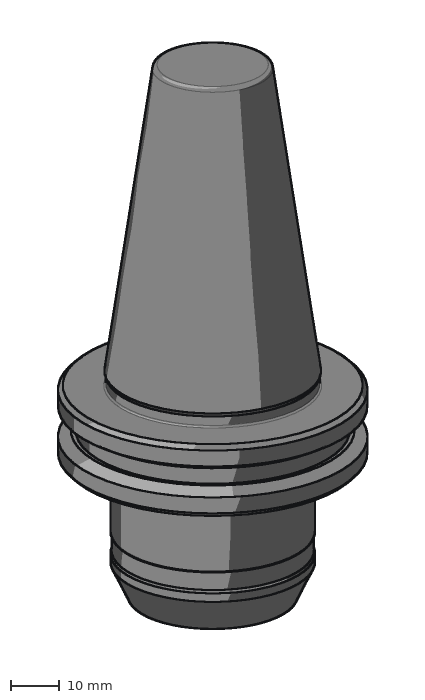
import cadquery as cq
import math


gauge_radius = 44.45 / 2
shank_length = 68.25
taper_radius_per_length = 7 / 48
taper_half_angle = math.atan(taper_radius_per_length)
shank_tip_radius = gauge_radius - shank_length * taper_radius_per_length
tip_fillet = 1.0

relief_radius = 21.95
relief_start_z = -0.8
relief_fillet = 0.4

flange_radius = 63.5 / 2
flange_top_z = -3.2
flange_thickness = 16.0
flange_bottom_z = flange_top_z - flange_thickness
flange_chamfer = 1.0
groove_centre_z = flange_top_z - flange_thickness / 2
groove_floor_radius = 28.15
groove_floor_width = 3.85
groove_mouth_width = 6.9
groove_flank_angle = 60
groove_flank_depth = (groove_mouth_width - groove_floor_width) / 2 * math.tan(math.radians(groove_flank_angle))

overall_length = 118.4
nose_end_z = shank_length - overall_length
nose_radius = 21.0
nose_root_fillet = 1.0
nose_end_radius = 17.4
nose_taper_length = 7.6

band_depth = 0.25
band_radius = nose_radius - band_depth
band_top_z = -35.8
band_bottom_z = -40.0
band_upper_slope_length = 0.3
band_lower_slope_length = 0.65


def add_tip(profile):
    """Draw the flat shank tip and round it into the taper."""
    centre_z = shank_length - tip_fillet
    taper_radius_at_centre = shank_tip_radius + tip_fillet * taper_radius_per_length
    centre_radius = taper_radius_at_centre - tip_fillet / math.cos(taper_half_angle)

    def arc_point(angle):
        return (centre_radius + tip_fillet * math.cos(angle), centre_z + tip_fillet * math.sin(angle))

    middle_angle = (math.pi / 2 + taper_half_angle) / 2
    return (
        profile.moveTo(0, shank_length)
        .lineTo(centre_radius, shank_length)
        .threePointArc(arc_point(middle_angle), arc_point(taper_half_angle))
    )


def add_concave_fillet(profile, start, end, centre):
    """Draw a quarter round from start to end that bulges toward the inside corner."""
    diagonal = math.sqrt(0.5)
    middle = tuple(c + diagonal * ((s - c) + (e - c)) for s, e, c in zip(start, end, centre))
    return profile.threePointArc(middle, end)


def add_relief(profile):
    """Draw the taper side, the relief below it and the fillet at the top of the flange."""
    fillet_top = (relief_radius, flange_top_z + relief_fillet)
    fillet_foot = (relief_radius + relief_fillet, flange_top_z)
    fillet_centre = (fillet_foot[0], fillet_top[1])
    profile = (
        profile.lineTo(gauge_radius, 0)
        .lineTo(relief_radius, relief_start_z)
        .lineTo(*fillet_top)
    )
    return add_concave_fillet(profile, fillet_top, fillet_foot, fillet_centre)


def flange_points():
    """Profile points around the chamfered rim and its groove, to the underside of the flange."""
    chamfered_radius = flange_radius - flange_chamfer
    lip_radius = flange_radius - groove_flank_depth
    half_mouth = groove_mouth_width / 2
    half_floor = groove_floor_width / 2
    return [
        (chamfered_radius, flange_top_z),
        (flange_radius, flange_top_z - flange_chamfer),
        (flange_radius, groove_centre_z + half_mouth),
        (lip_radius, groove_centre_z + half_floor),
        (groove_floor_radius, groove_centre_z + half_floor),
        (groove_floor_radius, groove_centre_z - half_floor),
        (lip_radius, groove_centre_z - half_floor),
        (flange_radius, groove_centre_z - half_mouth),
        (flange_radius, flange_bottom_z + flange_chamfer),
        (chamfered_radius, flange_bottom_z),
    ]


def nose_points():
    """Profile points from below the root fillet to the centre of the nose end."""
    return [
        (nose_radius, band_top_z),
        (band_radius, band_top_z - band_upper_slope_length),
        (band_radius, band_bottom_z),
        (nose_radius, band_bottom_z - band_lower_slope_length),
        (nose_radius, nose_end_z + nose_taper_length),
        (nose_end_radius, nose_end_z),
        (0, nose_end_z),
    ]


def add_nose_root(profile):
    """Draw the underside of the flange and the fillet where the nose meets it."""
    fillet_top = (nose_radius + nose_root_fillet, flange_bottom_z)
    fillet_foot = (nose_radius, flange_bottom_z - nose_root_fillet)
    fillet_centre = (fillet_top[0], fillet_foot[1])
    profile = profile.lineTo(*fillet_top)
    return add_concave_fillet(profile, fillet_top, fillet_foot, fillet_centre)


def make_holder():
    """Revolve the half profile about the Z axis."""
    profile = add_tip(cq.Workplane("XZ"))
    profile = add_relief(profile)
    profile = profile.polyline(flange_points(), includeCurrent=True)
    profile = add_nose_root(profile)
    profile = profile.polyline(nose_points(), includeCurrent=True).close()
    return profile.revolve(360, (0, 0, 0), (0, 1, 0))


result = make_holder()